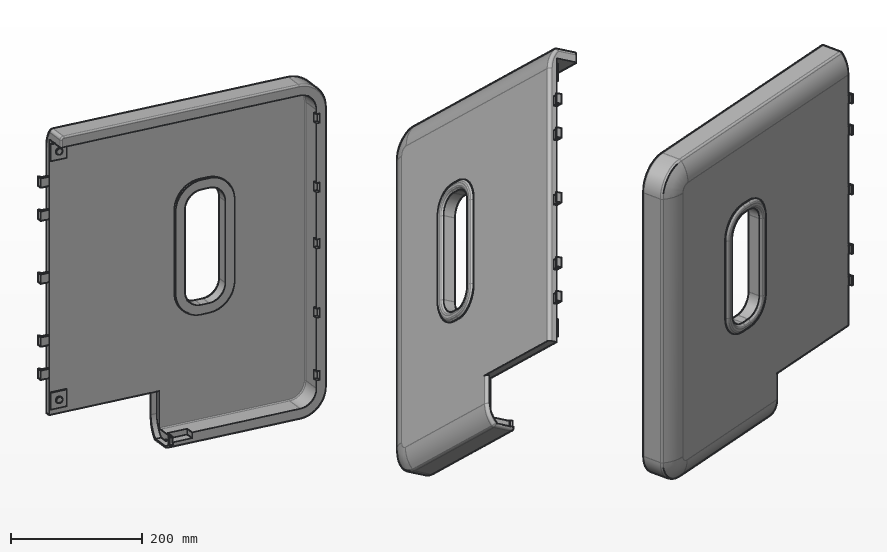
import cadquery as cq
import math

height = 555.0
length = 458.5
depth = 50.5
plate_thickness = 14.5
wall_thickness = 18.0
top_corner_radius = 48.0
bottom_corner_radius = 45.5

crown_radius = 50.0
crown_width = 35.0
crown_blend = 5.5
end_round = 5.5
back_round = 3.0
cavity_floor_round = 1.5

cutout_length = 180.0
cutout_height = 80.0

rim_y = 266.0
rim_z = 306.0
rim_width = 101.5
rim_height = 223.0
rim_corner_radius = 44.0
rim_thickness = 16.0
rim_rise = 5.5
rim_inner_x = 19.5
rim_bevel = 4.5
rim_blend = 4.0

clip_centers_z = (149.0, 203.5, 308.0, 412.5, 467.5)
clip_height = 15.5
clip_reach = 14.5
clip_root = 5.5
clip_front_x = 9.0
clip_back_x = 14.0
hook_front_x = 5.0
hook_thickness = 3.0

catch_centers_z = (66.0, 170.0, 284.5, 378.0, 492.5)
catch_height = 15.0
catch_width = 8.0
catch_depth = 5.5

stud_centers_z = (104.0, 515.5)
stud_pad_width = 28.0
stud_pad_rise = 3.0
stud_end_gap = 1.0
stud_tip_diameter = 10.5
stud_tip_rise = 5.0

lip_front = 5.5
lip_bottom = 5.0
recess_length = 10.0

groove_front_x = 35.0
groove_top_z = 8.5
groove_length = 4.5
tab_thickness = 3.5
tab_clearance = 33.5
lug_front_x = 47.0
lug_back_x = 52.0
lug_length = 5.5

crown_depth = crown_radius - math.sqrt(crown_radius**2 - crown_width**2)

OVERLAP = 5.5
SMALL = 0.5


def box(x_range, y_range, z_range):
    """Box spanning the given ranges along X, Y and Z."""
    spans = [high - low for low, high in (x_range, y_range, z_range)]
    corner = (x_range[0], y_range[0], z_range[0])
    return cq.Workplane("XY").box(*spans, centered=False).translate(corner)


def around(value):
    """Narrow range on both sides of a value."""
    return (value - SMALL, value + SMALL)


def edges_in(x_range, y_range, z_range):
    """Selector for the edges whose centres lie inside the given ranges."""
    return cq.selectors.BoxSelector(*zip(x_range, y_range, z_range))


def crown_middle():
    """Inset and depth of the point halfway along the crown arc."""
    half_angle = math.asin(crown_width / crown_radius) / 2
    inset = crown_width - crown_radius * math.sin(half_angle)
    return crown_radius * (1 - math.cos(half_angle)), inset


def crowned_strip(plane, inner, outer):
    """Section from inner to outer on the plane, crowned along its outer side."""
    side = 1 if outer > inner else -1
    middle_x, middle_inset = crown_middle()
    return (
        cq.Workplane(plane)
        .moveTo(0, inner)
        .lineTo(0, outer - side * crown_width)
        .threePointArc((middle_x, outer - side * middle_inset), (crown_depth, outer))
        .lineTo(depth, outer)
        .lineTo(depth, inner)
        .close()
    )


def crowned_corner(radius, z):
    """Round corner that carries the crown around an axis along X."""
    y = length - radius
    corner = crowned_strip("XY", 0, radius).revolve(360, (0, 0, 0), (1, 0, 0))
    return corner.translate((0, y, z))


def outer_block():
    """Solid outside shape, with the lower corner cut out and the edges rounded."""
    middle_z = height / 2
    top_y = length - top_corner_radius
    bottom_y = length - bottom_corner_radius
    top_z = height - top_corner_radius
    block = crowned_strip("XZ", middle_z, height).extrude(-top_y)
    block = block.union(crowned_strip("XZ", middle_z, 0).extrude(-bottom_y))
    side_strip = crowned_strip("XY", length / 2, length).extrude(top_z - bottom_corner_radius)
    block = block.union(side_strip.translate((0, 0, bottom_corner_radius)))
    block = block.union(crowned_corner(top_corner_radius, top_z))
    block = block.union(crowned_corner(bottom_corner_radius, bottom_corner_radius))
    block = block.cut(box((0, depth), (0, cutout_length), (0, cutout_height))).clean()

    anywhere_y = (-OVERLAP, length + OVERLAP)
    anywhere_z = (-OVERLAP, height + OVERLAP)
    crown_edges = edges_in(around(crown_depth), anywhere_y, anywhere_z)
    block = block.edges(crown_edges).fillet(crown_blend)

    before_back = (-OVERLAP, depth - SMALL)
    above_cutout = (cutout_height + SMALL, height + OVERLAP)
    beside_cutout = (-OVERLAP, cutout_height - SMALL)
    open_end = edges_in(before_back, around(0), above_cutout)
    cutout_end = edges_in(before_back, around(cutout_length), beside_cutout)
    block = block.edges(open_end).fillet(end_round).edges(cutout_end).fillet(end_round)

    back_edge = edges_in(around(depth), anywhere_y, around(height))
    return block.edges(back_edge).fillet(back_round)


def cavity():
    """Hollow behind the plate, open at the back and at the y = 0 end."""
    hollow = box(
        (plate_thickness, depth + OVERLAP),
        (-length, length - wall_thickness),
        (wall_thickness, height - wall_thickness),
    )
    hollow = hollow.edges("|X and >Y and >Z").fillet(top_corner_radius - wall_thickness)
    hollow = hollow.edges("|X and >Y and <Z").fillet(bottom_corner_radius - wall_thickness)
    return hollow.faces("<X").edges().fillet(cavity_floor_round)


def upright_slot(width, tall, corner_radius, x_range):
    """Rounded upright block centred on the handle opening."""
    slot = box(
        x_range,
        (rim_y - width / 2, rim_y + width / 2),
        (rim_z - tall / 2, rim_z + tall / 2),
    )
    return slot.edges("|X").fillet(corner_radius)


def handle_rim():
    """Ring around the handle opening, bevelled and blended where it stands out in front."""
    ring = upright_slot(rim_width, rim_height, rim_corner_radius, (-rim_rise, rim_inner_x))
    ring = ring.cut(handle_opening()).faces("<X").chamfer(rim_bevel)
    return ring.faces("<X").edges().fillet(rim_blend)


def handle_opening():
    """Through opening of the handle."""
    return upright_slot(
        rim_width - 2 * rim_thickness,
        rim_height - 2 * rim_thickness,
        rim_corner_radius - rim_thickness,
        (-rim_rise - OVERLAP, rim_inner_x + OVERLAP),
    )


def snap_clip(z):
    """Tongue standing out of the open end, with a hook turned to the front."""
    z_range = (z - clip_height / 2, z + clip_height / 2)
    tongue = box((clip_front_x, clip_back_x), (-clip_reach, clip_root), z_range)
    hook = box((hook_front_x, clip_back_x), (-clip_reach, hook_thickness - clip_reach), z_range)
    return tongue.union(hook)


def catch_pocket(z):
    """Pocket in the inner face of the +Y wall, open at the back."""
    wall_y = length - wall_thickness
    return box(
        (depth - catch_width, depth + OVERLAP),
        (wall_y - OVERLAP, wall_y + catch_depth),
        (z - catch_height / 2, z + catch_height / 2),
    )


def locating_stud(z):
    """Square pad with a round tip on the plate's inner face."""
    half_width = stud_pad_width / 2
    pad_y = stud_end_gap + half_width
    pad = box(
        (plate_thickness, plate_thickness + stud_pad_rise),
        (pad_y - half_width, pad_y + half_width),
        (z - half_width, z + half_width),
    )
    tip = cq.Workplane("YZ", origin=(plate_thickness, pad_y, z))
    return pad.union(tip.circle(stud_tip_diameter / 2).extrude(stud_tip_rise))


def end_recess():
    """Recess behind the lip of the cutout's end face, deeper in a groove near the back edge."""
    recess = crowned_strip("XZ", cutout_height, 0).extrude(-recess_length - OVERLAP)
    recess = recess.translate((lip_front, cutout_length - OVERLAP, lip_bottom))
    groove = box(
        (groove_front_x, depth + OVERLAP),
        (cutout_length, cutout_length + recess_length + groove_length),
        (lip_bottom, groove_top_z),
    )
    below_corner = box((0, 2 * depth), (0, length), (0, cutout_height))
    return recess.union(groove).intersect(below_corner)


def tab_relief():
    """Pocket behind the recessed end face that leaves a thin tab near the back edge."""
    tab_y = cutout_length + recess_length + tab_thickness
    return box(
        (groove_front_x, depth + OVERLAP),
        (tab_y, tab_y + tab_clearance),
        (groove_top_z, wall_thickness + OVERLAP),
    )


def end_lug():
    """Small lug on the thin tab that stands out past the back edge."""
    middle_y = cutout_length + recess_length
    return box(
        (lug_front_x, lug_back_x),
        (middle_y - lug_length / 2, middle_y + lug_length / 2),
        (lip_bottom, wall_thickness),
    )


body = outer_block().cut(cavity())
body = body.cut(end_recess()).cut(tab_relief()).union(end_lug())
body = body.union(handle_rim()).cut(handle_opening())
for center_z in catch_centers_z:
    body = body.cut(catch_pocket(center_z))
for center_z in clip_centers_z:
    body = body.union(snap_clip(center_z))
for center_z in stud_centers_z:
    body = body.union(locating_stud(center_z))

result = body